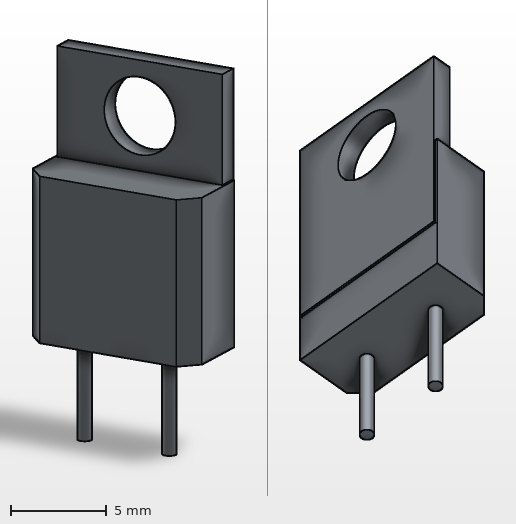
import cadquery as cq

HOUSING_WIDTH = 10.17
HOUSING_DEPTH = 4.44
HOUSING_HEIGHT = 9.17
HOUSING_CHAMFER = 0.98

TOTAL_HEIGHT = 20.83
TOTAL_DEPTH = 4.56
TAB_WIDTH = 9.92
TAB_THICKNESS = 1.19
TAB_RISE = 6.08
TAB_EMBED = 6.08
TAB_HEIGHT = TAB_RISE + TAB_EMBED
TAB_BOTTOM = HOUSING_HEIGHT - TAB_EMBED
HOLE_DIAMETER = 4.27
HOLE_BELOW_TOP = 3.06
HOLE_HEIGHT = HOUSING_HEIGHT + TAB_RISE - HOLE_BELOW_TOP

LEAD_DIAMETER = 0.77
LEAD_LENGTH = TOTAL_HEIGHT - HOUSING_HEIGHT - TAB_RISE
LEAD_PITCH = 5.08
LEAD_DEPTH = 2.02


def make_tab_blank():
    """Plain plate, flush with the rearmost plane of the part."""
    return (
        cq.Workplane("XY")
        .box(TAB_WIDTH, TAB_THICKNESS, TAB_HEIGHT, centered=(True, False, False))
        .translate((0, TOTAL_DEPTH - TAB_THICKNESS, TAB_BOTTOM))
    )


def make_tab():
    """Plate with its mounting hole running through along Y."""
    hole = (
        cq.Workplane("XZ", origin=(0, TOTAL_DEPTH, HOLE_HEIGHT))
        .circle(HOLE_DIAMETER / 2)
        .extrude(TAB_THICKNESS)
    )
    return make_tab_blank().cut(hole)


def make_housing():
    """Block with chamfered front vertical edges and a recess for the tab."""
    block = cq.Workplane("XY").box(
        HOUSING_WIDTH, HOUSING_DEPTH, HOUSING_HEIGHT, centered=(True, False, False)
    )
    block = block.faces("<Y").edges("|Z").chamfer(HOUSING_CHAMFER)
    return block.cut(make_tab_blank())


def make_lead(x):
    """Straight round lead hanging below the housing."""
    return (
        cq.Workplane("XY", origin=(x, LEAD_DEPTH, -LEAD_LENGTH))
        .circle(LEAD_DIAMETER / 2)
        .extrude(LEAD_LENGTH)
    )


housing = make_housing()
tab = make_tab()
leads = [make_lead(side * LEAD_PITCH / 2) for side in (-1, 1)]

result = cq.Compound.makeCompound([housing.val(), tab.val(), *[lead.val() for lead in leads]])